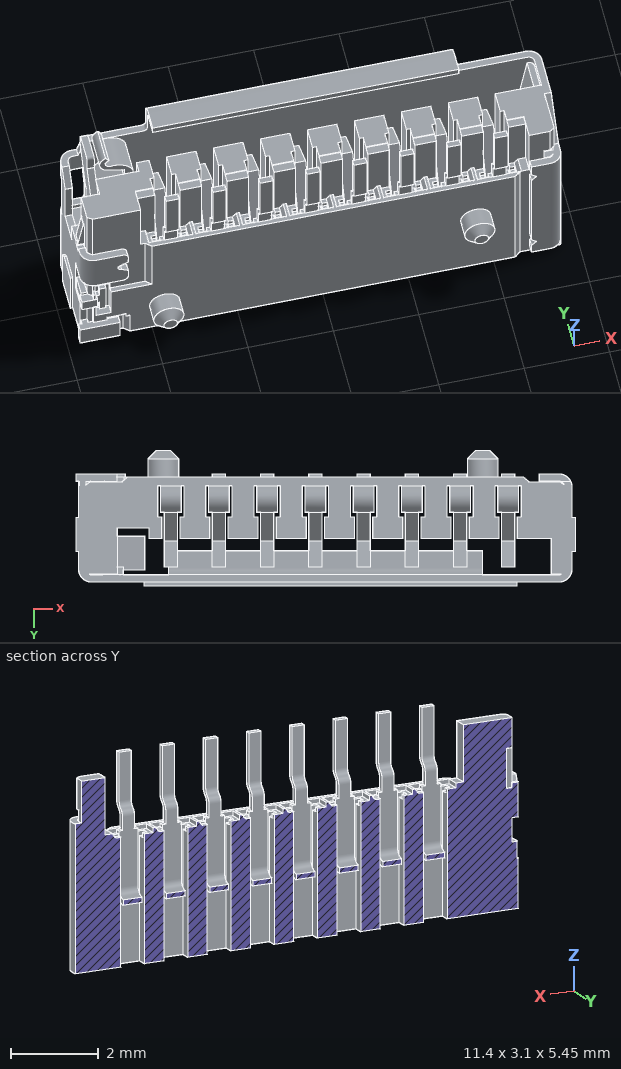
import cadquery as cq
import math


length = 11.4
height = 5.45
housing_top = 4.59

sheet = 0.17
left_bulge = 0.06
right_bulge = 0.08
shell_left = left_bulge
shell_right = length - right_bulge
shell_front = -2.47
bend_radius = 0.31
lip_inner_face = shell_front + sheet
left_lip_end = 1.13
right_lip_end = 10.57
flange_left = 2.11
flange_right = 9.28
flange_reach = 0.72

clearance = 0.01
housing_left = shell_left + sheet - clearance
housing_right = shell_right - sheet + clearance
housing_rear = -0.99
housing_front = -2.4
recess_face = lip_inner_face + clearance
recess_slope = 0.14
arm_step = -1.64
pocket_floor = -2.2
pocket_rib_front = -2.31
front_plate_top = 3.23
left_wall_top = 2.05
wall_rear = -sheet - clearance

arm_left = 0.48
arm_right = 0.65

contact_count = 8
first_contact = 2.17
last_contact = 9.86
pitch = (last_contact - first_contact) / (contact_count - 1)
contact_width = 0.31
contact_wide = 0.48
contact_top = 5.02
contact_sheet = 0.14
contact_xs = [first_contact + pitch * i for i in range(contact_count)]

comb_left = 1.46
comb_right = 10.56
rib_front = -1.75
strip_front = -1.95
strip_drop = 0.02
slot_step = -1.49
slot_front = -2.2
slot_narrow = 0.41
slot_wide = 0.59

peg_centres = [(2.0, 0.85), (9.28, 1.86)]
peg_radius = 0.35
peg_tip_radius = 0.16
peg_shoulder = -2.82
peg_tip = -3.01


def block(x0, x1, y0, y1, z0, z1):
    """Box between two corners."""
    return cq.Workplane("XY").box(x1 - x0, y1 - y0, z1 - z0, centered=False).translate((x0, y0, z0))


def along_x(points, x0, x1):
    """Prism along X from a (Y, Z) outline."""
    return cq.Workplane("YZ", origin=(x0, 0, 0)).polyline(points).close().extrude(x1 - x0)


def along_y(points, y_front, y_rear):
    """Prism along Y from an (X, Z) outline."""
    return cq.Workplane("XZ", origin=(0, y_rear, 0)).polyline(points).close().extrude(y_rear - y_front)


def along_z(points, z0, z1):
    """Prism along Z from an (X, Y) outline."""
    return cq.Workplane("XY", origin=(0, 0, z0)).polyline(points).close().extrude(z1 - z0)


def fillet_y_edges(solid, x, z_range, y, radius):
    """Round the short edges along Y that lie at x, near y, within a range of heights."""
    reach = 0.23
    margin = 0.01
    near = cq.selectors.BoxSelector(
        (x - margin, y - reach, z_range[0]), (x + margin, y + reach, z_range[1])
    )
    return solid.edges("|Y").edges(near).fillet(radius)


def shell_ring():
    """Sheet wrapped round the rear, both sides and the two front edges."""
    outer = block(shell_left, shell_right, shell_front, 0, 0, housing_top)
    outer = outer.edges("|Z").fillet(bend_radius)
    inner = block(shell_left + sheet, shell_right - sheet, lip_inner_face, -sheet, 0, housing_top)
    inner = inner.edges("|Z").fillet(bend_radius - sheet)
    opening = block(left_lip_end, right_lip_end, shell_front, lip_inner_face, 0, housing_top)
    return outer.cut(inner).cut(opening)


def cut_left_side(shell):
    """Arm window, corner window and the openings for the latch on the left side."""
    corner_top = 4.13
    corner_end = 0.49
    rise_end = 0.64
    shell = shell.cut(along_y(
        [(0, corner_top), (corner_end, corner_top), (rise_end, housing_top), (0, housing_top)],
        shell_front, 0,
    ))
    window_sill = 2.6
    arm_window = along_x(
        [(-0.41, corner_top), (-0.72, 3.67), (-0.72, window_sill), (-1.38, window_sill), (-1.38, 3.12),
         (-1.79, 3.12), (-1.87, 3.03), (-2.02, 3.03), (-2.07, 3.19), (shell_front, 3.19),
         (shell_front, housing_top), (-0.41, housing_top)],
        0, left_lip_end,
    )
    corner_window = block(0, 1.0, -0.35, 0, 2.17, 3.59)
    latch_opening = block(0, left_lip_end, shell_front, -1.77, 1.21, 2.19)
    lower_opening = block(0, left_lip_end, shell_front, -2.21, 0, 1.21)
    return shell.cut(arm_window).cut(corner_window).cut(latch_opening).cut(lower_opening)


def notch_left_lip(shell):
    """Rounded ends and key-hole notch on the upper left lip."""
    notch_z = 2.71
    notch_x = 0.97
    notch_radius = 0.08
    end_radius = 0.14
    shell = fillet_y_edges(shell, left_lip_end, (2.05, 3.31), shell_front, end_radius)
    hole = cq.Workplane("XZ", origin=(notch_x, lip_inner_face, notch_z)).circle(notch_radius).extrude(sheet)
    mouth = along_y(
        [(notch_x, notch_z - notch_radius), (left_lip_end, notch_z - 0.17),
         (left_lip_end, notch_z + 0.17), (notch_x, notch_z + notch_radius)],
        shell_front, lip_inner_face,
    )
    return shell.cut(hole).cut(mouth)


def cut_right_side(shell):
    """Sloping top of the right side and the trimmed right lip."""
    lip_top = 3.58
    lip_bottom = 0.17
    slope = along_x(
        [(-1.24, housing_top), (-1.97, lip_top), (shell_front, lip_top), (shell_front, housing_top)],
        right_lip_end, length,
    )
    foot = block(right_lip_end, length, shell_front, lip_inner_face, 0, lip_bottom)
    shell = shell.cut(slope).cut(foot)
    notch_depth = 0.11
    for notch_z in (3.16, 0.56):
        shell = shell.cut(along_y(
            [(right_lip_end, notch_z - notch_depth), (right_lip_end + notch_depth, notch_z),
             (right_lip_end, notch_z + notch_depth)],
            shell_front, lip_inner_face,
        ))
    return shell


def top_flange():
    """Rear plate carried up and bent forward over the cavity."""
    root = housing_top - sheet
    return (
        cq.Workplane("YZ", origin=(flange_left, 0, 0))
        .moveTo(0, root)
        .lineTo(0, height - bend_radius)
        .radiusArc((-bend_radius, height), -bend_radius)
        .lineTo(-flange_reach, height)
        .lineTo(-flange_reach, height - sheet)
        .lineTo(-bend_radius, height - sheet)
        .radiusArc((-sheet, height - bend_radius), bend_radius - sheet)
        .lineTo(-sheet, root)
        .close()
        .extrude(flange_right - flange_left)
    )


def side_bulges():
    """Shallow raised pads low on both sides."""
    pad = block(0, length, -1.48, -0.7, 0, 1.21).edges("|X and >Y and >Z").chamfer(0.17)
    return pad.cut(block(shell_left + sheet / 2, shell_right - sheet / 2, shell_front, 0, 0, housing_top))


def rear_lip():
    """Lanced wedge standing out from the rear plate."""
    return along_x([(-sheet / 2, 0.42), (0.09, 0.42), (0, 0.63), (-sheet / 2, 0.63)], 1.55, 10.07)


def corner_spring():
    """V-shaped finger in the rear plate, pressed towards the cavity."""
    thickness = 0.07
    depth = -0.34
    crest_top = 3.08
    crest_bottom = 2.68
    root_top = 3.69
    root_bottom = 2.05
    return along_x(
        [(0, root_top), (-0.02, root_top), (depth, crest_top), (depth, crest_bottom), (-0.02, root_bottom),
         (0, root_bottom), (depth + thickness, crest_bottom), (depth + thickness, crest_top)],
        0.6, 1.08,
    )


def lower_left_lip():
    """Foot of the shell at the lower left front corner, its side set in slightly."""
    foot_end = 0.93
    foot_height = 0.52
    inset = 0.02
    front = block(0, foot_end, shell_front, lip_inner_face, 0, foot_height)
    side = block(shell_left + inset, shell_left + sheet, lip_inner_face, -2.2, 0, foot_height)
    return front.union(side)


def latch_band():
    """Band that runs from the left side, slightly set in, across the latch pocket."""
    inset = 0.02
    bend_end = 0.42
    band_end = 0.64
    band_bottom = 1.24
    band_top = 1.54
    side = block(shell_left + inset, shell_left + sheet, -2.22, -1.71, 1.14, 1.62)
    front = block(shell_left, bend_end, housing_front - clearance, pocket_floor, band_bottom, band_top)
    end = block(bend_end, band_end, pocket_rib_front, pocket_floor, band_bottom, band_top)
    return side.union(front).union(end)


def make_shell():
    shell = notch_left_lip(cut_left_side(shell_ring()))
    shell = cut_right_side(shell).union(top_flange())
    flange_root_radius = 0.1
    root_heights = (housing_top - 0.01, housing_top + 0.01)
    for x in (flange_left, flange_right):
        shell = fillet_y_edges(shell, x, root_heights, -sheet / 2, flange_root_radius)
    for piece in (side_bulges(), rear_lip(), corner_spring(), lower_left_lip(), latch_band()):
        shell = shell.union(piece)
    return shell


def housing_block():
    """Comb block with bevelled front corners, and the two side walls of the card cavity."""
    bevel_x = 0.11
    bevel_y = 0.08
    body = along_z(
        [(housing_left, housing_rear), (housing_left, recess_face + bevel_y),
         (housing_left + bevel_x, recess_face), (housing_right - bevel_x, recess_face),
         (housing_right, recess_face + bevel_y), (housing_right, housing_rear)],
        0, housing_top,
    )
    spring_gap_end = 1.66
    spring_gap_front = -1.23
    body = body.cut(block(housing_left, spring_gap_end, spring_gap_front, housing_rear, 0, housing_top))
    body = body.cut(block(housing_left, arm_right, arm_step, housing_rear, 0, housing_top))
    left_wall_end = 0.95
    left_wall = block(housing_left, left_wall_end, arm_step, wall_rear, 0, left_wall_top)
    right_wall_top = 4.39
    right_wall = along_y(
        [(10.84, 0), (10.84, 3.42), (11.0, right_wall_top),
         (housing_right, right_wall_top), (housing_right, 0)],
        housing_rear, wall_rear,
    )
    return body.union(left_wall).union(right_wall)


def front_plate():
    """Raised front face with sloped ends, cut away for the lips of the shell."""
    left_edge = 0.33
    right_edge = 10.34
    upper_end = 1.7
    upper_bottom = 1.71
    lower_end = 1.19
    lower_top = 0.63
    lead_in_top = 0.72
    plate = along_z(
        [(left_edge, recess_face), (left_edge, housing_front), (right_edge - recess_slope, housing_front),
         (right_edge, recess_face)],
        0, front_plate_top,
    )
    upper_recess = along_z(
        [(left_edge, recess_face), (left_edge, housing_front), (upper_end, housing_front),
         (upper_end - recess_slope, recess_face)],
        upper_bottom, front_plate_top,
    )
    lower_recess = along_z(
        [(left_edge, recess_face), (left_edge, housing_front), (lower_end, housing_front),
         (lower_end - recess_slope, recess_face)],
        0, lower_top,
    )
    lead_in = along_x(
        [(housing_front, lead_in_top), (recess_face, lower_top), (housing_front, lower_top)],
        0.65, 1.1,
    )
    return plate.cut(upper_recess).cut(lower_recess).cut(lead_in)


def comb_relief():
    """Space in front of the ribs, above the front plate, leaving a low strip on each rib."""
    relief = block(comb_left, comb_right, recess_face, rib_front, front_plate_top, housing_top)
    strip = block(comb_left, comb_right, strip_front, rib_front, front_plate_top, housing_top - strip_drop)
    return relief.cut(strip)


def contact_slot(x):
    """Stepped slot for one contact with the shallow trench at its foot."""
    narrow = block(x - slot_narrow / 2, x + slot_narrow / 2, slot_step, housing_rear, 0, housing_top)
    wide = block(x - slot_wide / 2, x + slot_wide / 2, slot_front, slot_step, 0, housing_top)
    trench_half = 0.51
    trench_depth = 0.11
    trench_slope = 0.09
    trench_floor = front_plate_top - trench_depth
    trench = along_y(
        [(x - trench_half, front_plate_top), (x + trench_half, front_plate_top),
         (x + trench_half - trench_slope, trench_floor), (x - trench_half, trench_floor)],
        recess_face, strip_front,
    )
    pocket_half = 0.41
    pocket = block(x - pocket_half, x + pocket_half, slot_front, strip_front - 0.1,
                   front_plate_top - 2 * trench_depth, front_plate_top)
    return narrow.union(wide).union(trench).union(pocket)


def latch_pocket():
    """Pocket in the lower left of the front face, round the foot of the arm."""
    return block(0.39, 0.74, housing_front, pocket_floor, 0.89, 1.89)


def add_side_ramp(housing):
    """Pocket in the left face of the housing beside the arm, with a ramp standing in it."""
    ramp_top = 3.82
    ramp_bottom = 3.03
    pocket_depth = 0.14
    inner = housing_left + pocket_depth
    pocket = block(housing_left, inner, -1.96, arm_step, ramp_bottom - 0.11, ramp_top + 0.05)
    ramp = along_y(
        [(inner, ramp_top), (housing_left, ramp_top), (0.08, ramp_bottom), (inner, ramp_bottom)],
        -1.86, arm_step,
    )
    return housing.cut(pocket).union(ramp)


def peg(x, z):
    """Locating peg with a conical tip on the front face."""
    profile = [(0, recess_face), (peg_radius, recess_face), (peg_radius, peg_shoulder),
               (peg_tip_radius, peg_tip), (0, peg_tip)]
    turned = cq.Workplane("XY").polyline(profile).close().revolve(360, (0, 0, 0), (0, 1, 0))
    return turned.translate((x, 0, z))


def make_housing():
    housing = housing_block().union(front_plate()).cut(comb_relief())
    for x in contact_xs:
        housing = housing.cut(contact_slot(x))
    housing = add_side_ramp(housing.cut(latch_pocket()))
    end_notch = block(10.91, housing_right, recess_face, recess_face + 0.17, 3.58, 3.85)
    housing = housing.cut(end_notch)
    for x, z in peg_centres:
        housing = housing.union(peg(x, z))
    return housing


def contact(x):
    """Solder tail with a joggle, U-shaped root in the slot and peaked spring beam at the rear."""
    joggle_top = 3.84
    joggle_bottom = 3.51
    root_top = 3.19
    root_front = lip_inner_face
    shift = root_front - shell_front
    drop = joggle_top - joggle_bottom
    joggle_radius = (shift**2 + drop**2) / (4 * shift)
    middle = ((shell_front + root_front) / 2, (joggle_top + joggle_bottom) / 2)
    tail = (
        cq.Workplane("YZ", origin=(x - contact_width / 2, 0, 0))
        .moveTo(shell_front, contact_top)
        .lineTo(shell_front, joggle_top)
        .radiusArc(middle, -joggle_radius)
        .radiusArc((root_front, joggle_bottom), joggle_radius)
        .lineTo(root_front, root_top)
        .lineTo(root_front + contact_sheet, root_top)
        .lineTo(root_front + contact_sheet, joggle_bottom)
        .radiusArc((middle[0] + contact_sheet, middle[1]), -joggle_radius)
        .radiusArc((shell_front + contact_sheet, joggle_top), joggle_radius)
        .lineTo(shell_front + contact_sheet, contact_top)
        .close()
        .extrude(contact_width)
    )
    bend_z = 1.82
    inner_radius = 0.22
    outer_radius = inner_radius + contact_sheet
    bend_y = root_front + outer_radius
    root = (
        cq.Workplane("YZ", origin=(x - contact_wide / 2, 0, 0))
        .moveTo(root_front, root_top)
        .lineTo(root_front, bend_z)
        .threePointArc((bend_y, bend_z - outer_radius), (bend_y + outer_radius, bend_z))
        .lineTo(bend_y + inner_radius, bend_z)
        .threePointArc((bend_y, bend_z - inner_radius), (bend_y - inner_radius, bend_z))
        .lineTo(bend_y - inner_radius, root_top)
        .close()
        .extrude(contact_wide)
    )
    beam = along_x(
        [(bend_y + inner_radius, bend_z), (-1.03, 3.42), (-0.34, 3.08), (-0.34, 2.93), (-0.93, 3.23),
         (bend_y + outer_radius, bend_z)],
        x - contact_width / 2, x + contact_width / 2,
    )
    return tail.union(root).union(beam)


def arm():
    """Flat release arm standing beside the left block, with a foot in the latch pocket."""
    arm_foot = left_wall_top - 0.06
    tip_radius = 0.08
    blade = along_x(
        [(-0.42, 5.29), (-1.11, 5.29), (-1.12, 4.91), (-1.5, 4.28), (-1.53, arm_foot), (-1.0, arm_foot),
         (-1.0, 3.96), (-0.42, 4.91)],
        arm_left, arm_right,
    )
    blade = blade.faces(">Z").edges("|X").fillet(tip_radius)
    foot_inset = 0.01
    foot = block(arm_left + foot_inset, arm_right - foot_inset, pocket_rib_front, -2.17, 0.99, 1.78)
    return blade.union(foot)


def switch_spring():
    """Curled leaf standing on the left wall: hooked tip, rounded ramp, folded leg."""
    thickness = 0.14
    spring_rear = -0.27
    spring_width = 0.78
    hook_x = 1.05
    hook_z = 4.86
    outer = 0.26
    inner = outer - thickness
    fold_left = 1.37
    fold_right = 1.57
    leg_left = 0.75
    leg_foot = left_wall_top - 0.06

    def hook_point(radius, degrees):
        angle = math.radians(degrees)
        return (hook_x + radius * math.cos(angle), hook_z + radius * math.sin(angle))

    return (
        cq.Workplane("XZ", origin=(0, spring_rear, 0))
        .moveTo(*hook_point(outer, 118))
        .threePointArc(hook_point(outer, 180), hook_point(outer, 270))
        .lineTo(fold_left, 4.48)
        .lineTo(fold_left, 4.16)
        .lineTo(leg_left, 3.68)
        .lineTo(leg_left, leg_foot)
        .lineTo(leg_left + thickness, leg_foot)
        .lineTo(leg_left + thickness, 3.6)
        .lineTo(fold_right, 4.1)
        .lineTo(fold_right, 4.4)
        .threePointArc((1.39, 4.65), hook_point(inner, 290))
        .threePointArc(hook_point(inner, 180), hook_point(inner, 110))
        .close()
        .extrude(spring_width)
    )


result = make_shell().union(make_housing())
for contact_x in contact_xs:
    result = result.union(contact(contact_x))
result = result.union(arm()).union(switch_spring())